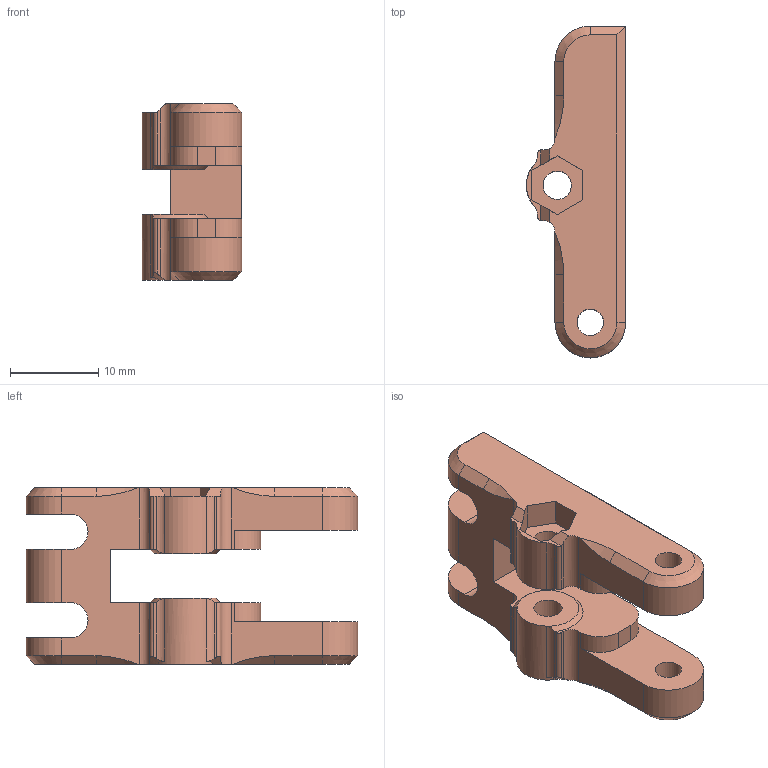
import cadquery as cq
import math


height = 20.0
width = 8.0
half_height = height / 2
half_width = width / 2
rear_y = 33.5
edge_chamfer = 1.0
pin_hole_dia = 3.0

slot_width = 6.0
slot_end_y = 24.0
wide_slot_width = 10.3
step_y = 7.0
step_corner_radius = 3.0

groove_width = 4.0
groove_depth = 7.0
groove_spacing = 10.0

boss_x = -3.74
boss_y = 15.5
boss_radius = 3.5
bolt_hole_dia = 3.2
lug_half_width = 4.0
lug_tip_x = -5.97
lug_root_radius = 1.2
lug_corner_radius = 0.45
lug_boss_fillet = 1.38
pad_height = 0.47

nut_across_flats = 5.76
nut_depth = 3.0
relief_depth = 1.0
relief_x = -5.6

flare_radius = 11.0
flare_start = 10.1
flare_end_x = -8.0


def block(x_min, x_max, y_min, y_max, z_min, z_max):
    """Box between the given limits."""
    return (
        cq.Workplane("XY")
        .box(x_max - x_min, y_max - y_min, z_max - z_min, centered=False)
        .translate((x_min, y_min, z_min))
    )


def post(radius, x, y, z_min, z_max):
    """Vertical cylinder."""
    return cq.Workplane("XY", origin=(x, y, z_min)).circle(radius).extrude(z_max - z_min)


def arc_middle(center, radius, start_deg, end_deg):
    """Point halfway along an arc."""
    angle = math.radians((start_deg + end_deg) / 2)
    return (center[0] + radius * math.cos(angle), center[1] + radius * math.sin(angle))


def make_bar(flared):
    """Bar with a round front end and one rounded rear corner.

    When flared, its -X side swings out along two arcs towards the boss.
    """
    corner_y = rear_y - half_width
    corner_middle = arc_middle((0, corner_y), half_width, 90, 180)
    outline = (
        cq.Workplane("XY", origin=(0, 0, -half_height))
        .moveTo(half_width, 0)
        .lineTo(half_width, rear_y)
        .lineTo(0, rear_y)
        .threePointArc(corner_middle, (-half_width, corner_y))
    )
    if flared:
        outline = add_flare(outline)
    return (
        outline.lineTo(-half_width, 0)
        .threePointArc((0, -half_width), (half_width, 0))
        .close()
        .extrude(height)
    )


def add_flare(outline):
    """Continue the outline along the -X side with the flare around the boss."""
    center_x = -half_width - flare_radius
    rear_center_y = boss_y + flare_start
    front_center_y = boss_y - flare_start
    angle = math.degrees(math.acos((flare_end_x - center_x) / flare_radius))
    run = flare_radius * math.sin(math.radians(angle))
    rear_middle = arc_middle((center_x, rear_center_y), flare_radius, 0, -angle)
    front_middle = arc_middle((center_x, front_center_y), flare_radius, angle, 0)
    return (
        outline.lineTo(-half_width, rear_center_y)
        .threePointArc(rear_middle, (flare_end_x, rear_center_y - run))
        .lineTo(flare_end_x, front_center_y + run)
        .threePointArc(front_middle, (-half_width, front_center_y))
    )


def make_chamfered_envelope():
    """Flared bar, chamfered all round top and bottom.

    Where the straight bar lies inside the flare, its chamfer fades out.
    """
    return make_bar(flared=True).faces("<Z or >Z").chamfer(edge_chamfer)


def make_lug():
    """Lug on the side of the bar, blended into the bar and into the round boss."""
    root_y = lug_half_width + lug_root_radius
    root_x = -half_width - lug_root_radius
    corner_x = lug_tip_x + lug_corner_radius
    corner_y = lug_half_width - lug_corner_radius
    blend_x = lug_tip_x - lug_boss_fillet
    blend_reach = boss_radius + lug_boss_fillet
    blend_y = math.sqrt(blend_reach ** 2 - (boss_x - blend_x) ** 2)
    blend_angle = math.degrees(math.atan2(-blend_y, boss_x - blend_x))
    touch_x = boss_x + (blend_x - boss_x) * boss_radius / blend_reach
    touch_y = blend_y * boss_radius / blend_reach

    root_middle = arc_middle((root_x, root_y), lug_root_radius, 0, -90)
    corner_middle = arc_middle((corner_x, corner_y), lug_corner_radius, 90, 180)
    blend_middle = arc_middle((blend_x, blend_y), lug_boss_fillet, 0, blend_angle)

    def half(side):
        def at(x, y):
            return (x, boss_y + side * y)

        return (
            cq.Workplane("XY", origin=(0, 0, -half_height))
            .moveTo(*at(0, 0))
            .lineTo(*at(0, root_y))
            .lineTo(*at(-half_width, root_y))
            .threePointArc(at(*root_middle), at(root_x, lug_half_width))
            .lineTo(*at(corner_x, lug_half_width))
            .threePointArc(at(*corner_middle), at(lug_tip_x, corner_y))
            .lineTo(*at(lug_tip_x, blend_y))
            .threePointArc(at(*blend_middle), at(touch_x, touch_y))
            .lineTo(*at(touch_x, 0))
            .close()
            .extrude(height)
        )

    return half(1).union(half(-1))


def make_arm_clearance():
    """Space between the arms: a narrow slot, then a wider one past a rounded step."""
    narrow_half = slot_width / 2
    wide_half = wide_slot_width / 2
    front_y = -width
    step_end_y = step_y + step_corner_radius
    narrow = block(-width, width, front_y, slot_end_y, -narrow_half, narrow_half)
    wide = block(-width, width, front_y, step_end_y, -wide_half, wide_half)
    step = (
        block(-half_width, half_width, step_y, slot_end_y, -half_height, half_height)
        .edges("|Z and <Y")
        .fillet(step_corner_radius)
    )
    return wide.cut(step).union(narrow)


def make_pads(profile):
    """Raised bevelled rings around the bolt hole, on the facing sides of the arms."""
    base_z = slot_width / 2
    upper = (
        cq.Workplane("XY", origin=(boss_x, boss_y, base_z))
        .circle(boss_radius + pad_height)
        .workplane(offset=-pad_height)
        .circle(boss_radius)
        .loft()
    )
    return upper.union(upper.mirror("XY")).intersect(profile)


def cut_rear_grooves(body):
    """Two round-bottomed grooves across the rear face."""
    radius = groove_width / 2
    bottom_center_y = rear_y - groove_depth + radius
    for z in (-groove_spacing / 2, groove_spacing / 2):
        channel = block(-width, width, bottom_center_y, rear_y + radius, z - radius, z + radius)
        bottom = (
            cq.Workplane("YZ", origin=(-width, bottom_center_y, z))
            .circle(radius)
            .extrude(2 * width)
        )
        body = body.cut(channel).cut(bottom)
    return body


def cut_nut_seat(body):
    """Hexagonal nut pocket and the sloped relief beside it."""
    far_x = boss_x - 2 * boss_radius
    relief_half_length = lug_half_width + lug_root_radius
    relief_z = half_height - relief_depth
    relief = (
        cq.Workplane("XZ", origin=(0, boss_y + relief_half_length, 0))
        .moveTo(far_x, relief_z)
        .lineTo(relief_x, relief_z)
        .lineTo(relief_x + relief_depth, half_height)
        .lineTo(far_x, half_height)
        .close()
        .extrude(2 * relief_half_length)
    )
    nut = (
        cq.Workplane("XY", origin=(boss_x, boss_y, half_height - nut_depth))
        .transformed(rotate=(0, 0, 90))
        .polygon(6, nut_across_flats / math.cos(math.pi / 6))
        .extrude(nut_depth)
    )
    return body.cut(relief).cut(nut)


boss = post(boss_radius, boss_x, boss_y, -half_height, half_height)
profile = make_bar(flared=False).union(make_lug())
body = profile.intersect(make_chamfered_envelope()).union(boss)
body = body.cut(make_arm_clearance())
body = body.union(make_pads(profile.union(boss)))
body = cut_rear_grooves(body)
body = cut_nut_seat(body)
body = body.cut(post(bolt_hole_dia / 2, boss_x, boss_y, -half_height, half_height))
result = body.cut(post(pin_hole_dia / 2, 0, 0, -half_height, half_height))